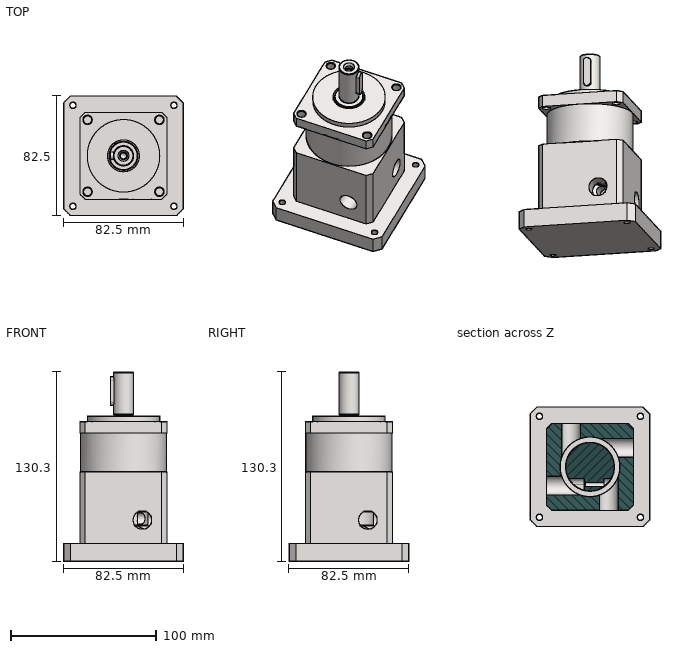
import cadquery as cq
import math

plate_side = 82.5
plate_height = 12.5
plate_corner = 4.75
block_side = 60.0
block_top = 61.5
block_corner = 3.65
ring_diameter = 59.6
ring_chamfer = 0.4
flange_bottom = 88.4
flange_top = 96.35
pilot_diameter = 50.0
pilot_top = 100.05
shaft_top = 130.35

plate_hole_spacing = 69.6
plate_hole_diameter = 4.0
plate_hole_chamfer = 0.25
flange_hole_spacing = 70.0 / math.sqrt(2)
flange_hole_diameter = 5.5
flange_hole_chamfer = 0.5

shaft_radius = 7.0
shaft_chamfer = 0.5
neck_height = 0.55
shoulder_radius = 10.0
shoulder_chamfer = 0.5
shoulder_top = shaft_top - 30.0
shaft_bore_radius = 11.0
shaft_bore_bottom = flange_top
neck_radius = shaft_radius - shaft_chamfer
tap_radius = 2.1
tap_depth = 16.0
tap_tip_height = tap_radius / math.tan(math.radians(59))
relief_radius = 2.65
relief_depth = 4.0
countersink_radius = 3.75
countersink_depth = (countersink_radius - relief_radius) / math.tan(math.radians(30))
key_width = 5.0
key_length = 20.0
key_top = shaft_top - 3.0
key_seat = 4.0
key_face = 9.0

collar_radius = 16.9
collar_bottom = 24.4
collar_top = 34.7
collar_chamfer_width = 0.35
collar_chamfer_height = 0.7
screw_y = -12.15
screw_z = (collar_bottom + collar_top) / 2
screw_hole_diameter = 3.3
screw_hole_chamfer = 0.45
recess_radius = 3.9
head_seat_x = -4.0
nut_seat_x = 9.55
cavity_radius = 20.5

access_diameter = 12.7
access_offset = 13.0
access_z = 28.5


def chamfered_square(side, corner, bottom, top):
    """Square block centred on Z with chamfered vertical edges."""
    block = cq.Workplane("XY").workplane(offset=bottom).rect(side, side).extrude(top - bottom)
    return block.edges("|Z").chamfer(corner)


def disc(radius, bottom, top):
    """Solid cylinder on the Z axis."""
    return cq.Workplane("XY").workplane(offset=bottom).circle(radius).extrude(top - bottom)


def turned(profile):
    """Solid of revolution about Z from a list of (radius, height) points."""
    return cq.Workplane("XZ").polyline(profile).close().revolve(360, (0, 0, 0), (0, 1, 0))


def rod_along_x(diameter, start_x, end_x, y, z):
    """Solid cylinder parallel to X."""
    return cq.Workplane("YZ", origin=(start_x, y, z)).circle(diameter / 2).extrude(end_x - start_x)


def corner_holes(spacing, diameter, chamfer, bottom, top):
    """Cutter for four through holes in a square pattern, chamfered at the top."""
    radius = diameter / 2
    profile = [
        (0, bottom),
        (radius, bottom),
        (radius, top - chamfer),
        (radius + chamfer, top),
        (0, top),
    ]
    hole = turned(profile).val()
    corners = cq.Workplane("XY").rect(spacing, spacing, forConstruction=True).vertices()
    return corners.eachpoint(lambda place: hole.moved(place), combine=False)


def make_motor_plate():
    plate = chamfered_square(plate_side, plate_corner, 0, plate_height)
    holes = corner_holes(plate_hole_spacing, plate_hole_diameter, plate_hole_chamfer, 0, plate_height)
    return plate.cut(holes)


def access_hole():
    """Round hole that enters from -Y, turns a mitred corner and leaves as the hole on +X."""
    reach = block_side / 2
    path = cq.Workplane("XY", origin=(0, 0, access_z)).polyline([
        (access_offset, -reach),
        (access_offset, access_offset),
        (reach, access_offset),
    ])
    mouth = cq.Workplane("XZ", origin=(access_offset, -reach, access_z)).circle(access_diameter / 2)
    return mouth.sweep(path, transition="right")


def make_block():
    block = chamfered_square(block_side, block_corner, plate_height, block_top)
    block = block.cut(disc(cavity_radius, plate_height, collar_top))
    hole = access_hole()
    for quarter_turn in range(4):
        block = block.cut(hole.rotate((0, 0, 0), (0, 0, 1), 90 * quarter_turn))
    return block


def make_collar():
    end_radius = collar_radius - collar_chamfer_width
    profile = [
        (0, collar_bottom),
        (end_radius, collar_bottom),
        (collar_radius, collar_bottom + collar_chamfer_height),
        (collar_radius, collar_top - collar_chamfer_height),
        (end_radius, collar_top),
        (0, collar_top),
    ]
    collar = turned(profile)

    def open_recess(seat_x, end_x):
        """Round-bottomed recess around the screw axis, open toward -Y."""
        length = abs(end_x - seat_x)
        middle_x = (seat_x + end_x) / 2
        round_end = rod_along_x(2 * recess_radius, min(seat_x, end_x), max(seat_x, end_x), screw_y, screw_z)
        opening = cq.Workplane("XY").box(length, collar_radius, 2 * recess_radius)
        return round_end.union(opening.translate((middle_x, screw_y - collar_radius / 2, screw_z)))

    collar = collar.cut(open_recess(head_seat_x, -collar_radius))
    collar = collar.cut(open_recess(nut_seat_x, collar_radius))
    screw_hole = rod_along_x(screw_hole_diameter, head_seat_x, nut_seat_x, screw_y, screw_z)
    hole_mouth = rod_along_x(
        screw_hole_diameter + 2 * screw_hole_chamfer,
        head_seat_x,
        head_seat_x + 2 * screw_hole_chamfer,
        screw_y,
        screw_z,
    )
    hole_mouth = hole_mouth.faces(">X").chamfer(screw_hole_chamfer)
    return collar.cut(screw_hole).cut(hole_mouth)


def make_ring_gear():
    return disc(ring_diameter / 2, block_top, flange_bottom).faces("<Z").chamfer(ring_chamfer)


def make_output_flange():
    flange = chamfered_square(block_side, block_corner, flange_bottom, flange_top)
    pilot = disc(pilot_diameter / 2, flange_top, pilot_top)
    holes = corner_holes(
        flange_hole_spacing, flange_hole_diameter, flange_hole_chamfer, flange_bottom, flange_top
    )
    return flange.union(pilot).cut(holes).cut(disc(shaft_bore_radius, shaft_bore_bottom, pilot_top))


def make_key():
    plane = cq.Workplane("YZ", origin=(-key_face, 0, key_top - key_length / 2))
    return plane.slot2D(key_length, key_width, 90).extrude(key_face - key_seat)


def make_shaft(key):
    shoulder = disc(shoulder_radius, shaft_bore_bottom, shoulder_top).faces(">Z").chamfer(shoulder_chamfer)
    neck_top = shoulder_top + neck_height
    neck = disc(neck_radius, shoulder_top, neck_top)
    journal = disc(shaft_radius, neck_top, shaft_top).edges().chamfer(shaft_chamfer)
    shaft = shoulder.union(neck).union(journal)
    tap_profile = [
        (0, shaft_top - tap_depth - tap_tip_height),
        (tap_radius, shaft_top - tap_depth),
        (tap_radius, shaft_top - relief_depth - (relief_radius - tap_radius)),
        (relief_radius, shaft_top - relief_depth),
        (relief_radius, shaft_top - countersink_depth),
        (countersink_radius, shaft_top),
        (0, shaft_top),
    ]
    return shaft.cut(turned(tap_profile)).cut(key)


motor_plate = make_motor_plate()
block = make_block()
collar = make_collar()
ring_gear = make_ring_gear()
output_flange = make_output_flange()
key = make_key()
shaft = make_shaft(key)

result = cq.Compound.makeCompound([
    motor_plate.val(),
    block.val(),
    collar.val(),
    ring_gear.val(),
    output_flange.val(),
    shaft.val(),
    key.val(),
])